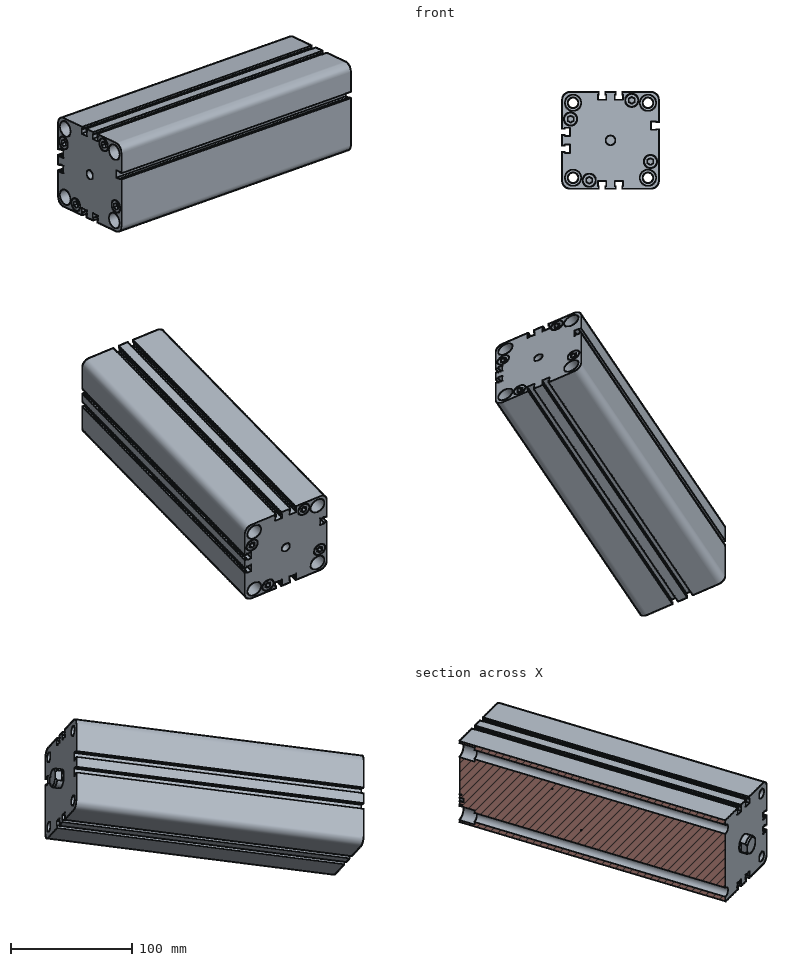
import cadquery as cq

WIDTH = 80.0
TOTAL_LENGTH = 257.5
CORNER_RADIUS = 7.0

ROD_DIAMETER = 16.0
ROD_LENGTH = 7.2
ROD_FLATS = 13.5
FLAT_LENGTH = 5.7
ROD_TIP_BEVEL_LENGTH = 1.8
ROD_TIP_BEVEL_DEPTH = 0.8

BODY_LENGTH = TOTAL_LENGTH - ROD_LENGTH

END_CAP_DEPTH = 14.2

SLOT_OFFSET = 7.0
SLOT_MOUTH = 5.2
SLOT_INNER = 6.7
LIP_THICKNESS = 2.3
SLOT_DEPTH = 6.5
SIDE_SLOT_OFFSET = 12.0
SIDE_SLOT_MOUTH = 5.7
SIDE_SLOT_INNER = 6.7

MOUNT_PITCH = 61.8
MOUNT_DIAMETER = 8.5
MOUNT_BORE_DIAMETER = 13.5
MOUNT_BORE_DEPTH = END_CAP_DEPTH

SCREW_NEAR = 17.5
SCREW_FAR = 33.0
SCREW_POCKET_DIAMETER = 11.0
SCREW_HEAD_DIAMETER = 10.5
SCREW_POCKET_DEPTH = 2.5
SCREW_SOCKET_CORNERS = 5.7
SCREW_SOCKET_DEPTH = 3.9

PORT_DIAMETER = 8.0
PORT_DEPTH = END_CAP_DEPTH


def front_plane():
    """Plane of the front face, with +X right, +Z up and its normal toward -Y."""
    return cq.Workplane("XZ")


def t_slot(offset, mouth, inner, turn):
    """T-slot cutter for the +Z side at X = offset, turned about Y by the given angle."""
    top = WIDTH / 2
    lip = front_plane().center(offset, top - LIP_THICKNESS / 2).rect(mouth, LIP_THICKNESS)
    groove_height = SLOT_DEPTH - LIP_THICKNESS
    groove = front_plane().center(offset, top - LIP_THICKNESS - groove_height / 2)
    groove = groove.rect(inner, groove_height).extrude(-BODY_LENGTH)
    cutter = lip.extrude(-BODY_LENGTH).union(groove)
    return cutter.rotate((0, 0, 0), (0, 1, 0), turn)


def make_body():
    body = front_plane().rect(WIDTH, WIDTH).extrude(-BODY_LENGTH)
    body = body.edges("|Y").fillet(CORNER_RADIUS)
    for turn in (0, -90, 180):
        for offset in (-SLOT_OFFSET, SLOT_OFFSET):
            body = body.cut(t_slot(offset, SLOT_MOUTH, SLOT_INNER, turn))
    return body.cut(t_slot(-SIDE_SLOT_OFFSET, SIDE_SLOT_MOUTH, SIDE_SLOT_INNER, 90))


def make_holes():
    corners = front_plane().rect(MOUNT_PITCH, MOUNT_PITCH, forConstruction=True).vertices()
    through = corners.circle(MOUNT_DIAMETER / 2).extrude(-BODY_LENGTH)
    bores = corners.circle(MOUNT_BORE_DIAMETER / 2).extrude(-MOUNT_BORE_DEPTH)
    port = front_plane().circle(PORT_DIAMETER / 2).extrude(-PORT_DEPTH)
    return through.union(bores).union(port)


def make_screw_cuts():
    """Narrow ring around each screw head and the hexagon socket in it."""
    spots = [
        (SCREW_NEAR, SCREW_FAR),
        (-SCREW_FAR, SCREW_NEAR),
        (-SCREW_NEAR, -SCREW_FAR),
        (SCREW_FAR, -SCREW_NEAR),
    ]
    rings = front_plane().pushPoints(spots).circle(SCREW_POCKET_DIAMETER / 2)
    rings = rings.circle(SCREW_HEAD_DIAMETER / 2).extrude(-SCREW_POCKET_DEPTH)
    hexagon = cq.Sketch().regularPolygon(SCREW_SOCKET_CORNERS / 2, 6)
    sockets = front_plane().pushPoints(spots).placeSketch(hexagon).extrude(-SCREW_SOCKET_DEPTH)
    return rings.union(sockets)


def make_rod():
    """Rod stub with a bevelled tip and two wrench flats that run out at 45 degrees."""
    radius = ROD_DIAMETER / 2
    tip = TOTAL_LENGTH
    rod = (
        cq.Workplane("XY")
        .moveTo(0, BODY_LENGTH)
        .lineTo(radius, BODY_LENGTH)
        .lineTo(radius, tip - ROD_TIP_BEVEL_LENGTH)
        .lineTo(radius - ROD_TIP_BEVEL_DEPTH, tip)
        .lineTo(0, tip)
        .close()
        .revolve(360, (0, 0), (0, 1))
    )
    flat_depth = radius - ROD_FLATS / 2
    flat_start = tip - FLAT_LENGTH
    flat = (
        cq.Workplane("XY")
        .moveTo(ROD_FLATS / 2, tip)
        .lineTo(ROD_FLATS / 2, flat_start)
        .lineTo(radius, flat_start - flat_depth)
        .lineTo(radius, tip)
        .close()
        .extrude(radius, both=True)
    )
    return rod.cut(flat).cut(flat.mirror("YZ"))


result = make_body().cut(make_holes()).cut(make_screw_cuts()).union(make_rod())